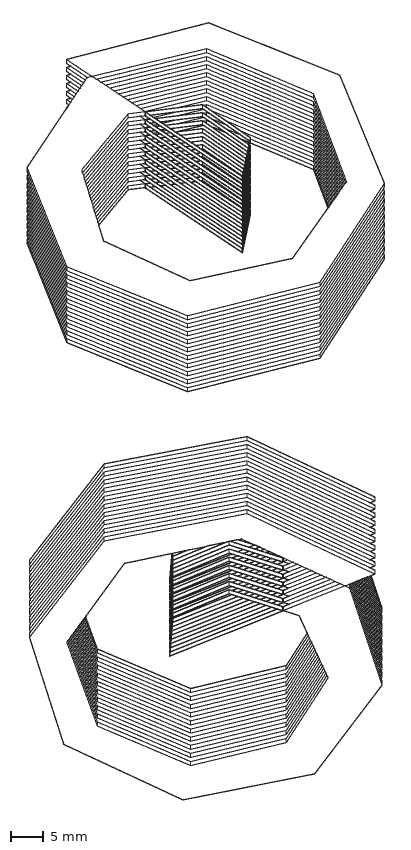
import cadquery as cq
import math

plate_count = 10
plate_thickness = 1.0
plate_pitch = 2 * plate_thickness

spiral_scale = 10.0
first_corner = 1
last_corner = 20
corners_per_turn = 8
turn_step = 2 * math.pi / corners_per_turn

inner_turn_start = 4
outer_turn_start = inner_turn_start + corners_per_turn

wall = 0.05


def spiral_corner(n):
    """Corner n of the spiral, counted counterclockwise."""
    radius = spiral_scale * math.log(1 + n)
    angle = n * turn_step
    return cq.Vector(radius * math.cos(angle), radius * math.sin(angle))


def spiral_corners(first, last):
    """All corners from first to last, both included."""
    return [spiral_corner(n) for n in range(first, last + 1)]


chord_start = spiral_corner(last_corner)
chord_direction = (spiral_corner(first_corner) - chord_start).normalized()
chord_normal = cq.Vector(-chord_direction.y, chord_direction.x)


def chord_crossing(n, offset=0):
    """Where the side ending at corner n meets the chord, moved along its normal by offset."""
    side_start = spiral_corner(n - 1)
    side_end = spiral_corner(n)
    start_height = (side_start - chord_start).dot(chord_normal) - offset
    end_height = (side_end - chord_start).dot(chord_normal) - offset
    return side_start + (side_end - side_start) * (start_height / (start_height - end_height))


def outline(corners, bottom):
    """Closed straight-sided outline at the height of a plate's underside."""
    points = [(corner.x, corner.y) for corner in corners]
    return cq.Workplane("XY", origin=(0, 0, bottom)).polyline(points).close()


def outer_turn(bottom):
    """Full plate inside the outer turn of the spiral and the chord."""
    corners = [chord_crossing(outer_turn_start)] + spiral_corners(outer_turn_start, last_corner)
    return outline(corners, bottom).extrude(plate_thickness)


def opening(bottom):
    """Space inside the inner turn, kept one wall clear of the chord so a neck remains."""
    corners = [chord_crossing(inner_turn_start, wall)]
    corners += spiral_corners(inner_turn_start, outer_turn_start - 1)
    corners.append(chord_crossing(outer_turn_start, wall))
    return outline(corners, bottom).extrude(plate_thickness)


def inner_loop(bottom):
    """Thin wall along the innermost sides of the spiral and back along the chord."""
    corners = spiral_corners(first_corner, inner_turn_start - 1) + [chord_crossing(inner_turn_start)]
    filled = outline(corners, bottom).extrude(plate_thickness)
    inside = outline(corners, bottom).offset2D(-wall, "intersection").extrude(plate_thickness)
    return filled.cut(inside)


def spiral_plate(bottom):
    """One plate: a split ring with the thin loop attached inside it."""
    return outer_turn(bottom).cut(opening(bottom)).union(inner_loop(bottom))


plates = [spiral_plate(i * plate_pitch) for i in range(plate_count)]
result = cq.Compound.makeCompound([plate.solids().val() for plate in plates])